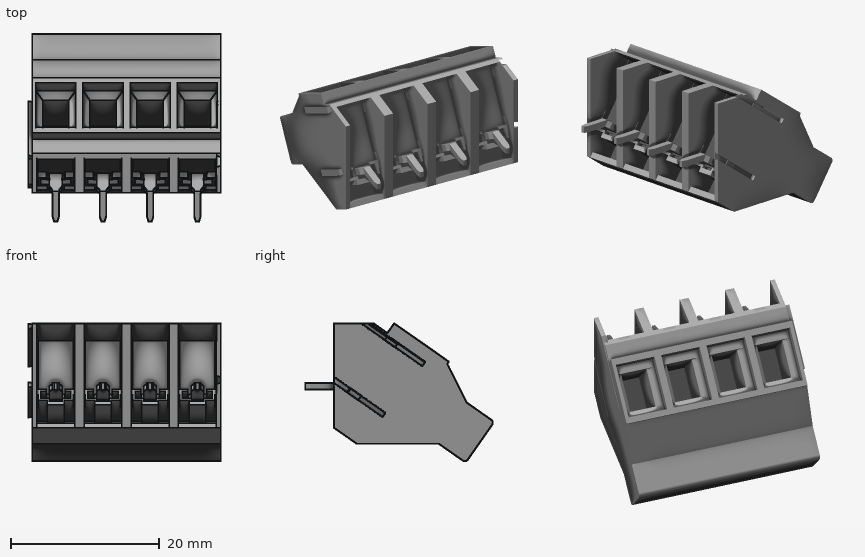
import cadquery as cq
import math


POLES = 4
PITCH = 6.35
TILT = math.radians(35)
BODY_WIDTH = POLES * PITCH
BODY_HEIGHT = 16.2

COS = math.cos(TILT)
SIN = math.sin(TILT)

TOP_DEPTH = 5.33
HOOD_FRONT_U = -2.66
HOOD_REAR_U = 6.34
HOOD_V = 17.92
ROOF_V = 16.33
HOOD_LIP = 0.37
TAIL_START = (17.87, 5.55)
TAIL_END_U = 15.98
TAIL_UNDER_V = 8.085
TAIL_RADIUS = 0.5
BOTTOM_CHAMFER_Z = 2.15

CHAMBER_WIDTH = 5.08
CHAMBER_ROOF_V = 15.85
CHAMBER_BACK_U = -1.55
FLOOR_LIP_DEPTH = 0.45
GAP_BACK_U = 2.4
SLIT_BACK_U = -0.9
CAGE_WIDTH = 4.7
PAD_THICKNESS = 0.1
PAD_FRONT_U = -2.4
UPPER_PAD_V = (13.85, CHAMBER_ROOF_V)
LOWER_PAD_V = (6.0, 8.26)

CAGE_FRONT_U = -2.56
CAGE_BOTTOM_V = 5.37
CAGE_TOP_V = 7.17
SHOULDER_BOTTOM_V = 6.23
KEEL_WIDTH = 2.23
KEEL_BOTTOM_V = 4.63
WINDOW_WIDTH = 4.06
WINDOW_V = (5.72, 6.86)
WINDOW_BACK_U = -0.75
MOUTH_WIDTH = 2.54
STEM_SLOT_V = 5.26

PIN_SIZE = 0.9
PIN_TOP_Z = 8.2
PIN_LENGTH = 3.87
PIN_TIP_WIDTH = 0.45
PIN_TIP_LENGTH = 0.7
STEM_WIDTH = 1.7
STEM_TAPER_U = (-4.3, -3.75)
STEM_TOP_V = WINDOW_V[1]
COLLAR_WIDTH = 2.45
COLLAR_FRONT_U = -1.85

ENTRY_WIDTH = 5.4
ENTRY_U = (-1.8, 5.55)
ENTRY_DEPTH = 1.88
FUNNEL_DEPTH = 0.7
SHAFT_WIDTH = 3.55
SHAFT_U = (-0.7, 4.5)
SHAFT_DEPTH = 6.2

RIB_HEIGHT = 0.55
RIB_WIDTH = 0.88
RIB_UNDERCUT = 0.115
UPPER_RIB_U = (-5.14, 3.75)
UPPER_RIB_TOP_V = 16.14
LOWER_RIB_U = (-3.8, 3.3)
LOWER_RIB_TOP_V = 7.48
GROOVE_RUN_OUT = 3.0

OVERLAP = 0.2


def tilted(u, v):
    """(Y, Z) of a point given in the tilted frame."""
    return (u * COS + v * SIN, v * COS - u * SIN)


def slope_point_at_z(z, v):
    """(Y, Z) of the point at height z on the sloped line v."""
    return ((v - z * COS) / SIN, z)


def prism(points, x_centre, width):
    """Extrude a (Y, Z) outline along X, centred on x_centre."""
    plane = cq.Workplane("YZ", origin=(x_centre - width / 2, 0, 0))
    return plane.polyline(points).close().extrude(width)


def tilted_box(x_centre, width, u_range, v_range):
    """Box aligned with the tilted frame."""
    u0, u1 = u_range
    v0, v1 = v_range
    corners = [tilted(u0, v0), tilted(u1, v0), tilted(u1, v1), tilted(u0, v1)]
    return prism(corners, x_centre, width)


def slope_plane(v):
    """Workplane at X = 0 on the slope v: local x is +X, local y is +u, normal is +v."""
    y, z = tilted(0, v)
    return cq.Workplane(cq.Plane(origin=(0, y, z), xDir=(1, 0, 0), normal=(0, SIN, COS)))


def housing():
    tail_y, tail_z = TAIL_START
    tail_top_v = tail_y * SIN + tail_z * COS
    chamfer_depth = BOTTOM_CHAMFER_Z / math.tan(TILT)
    outline = [
        (0, BOTTOM_CHAMFER_Z),
        (0, BODY_HEIGHT),
        (TOP_DEPTH, BODY_HEIGHT),
        tilted(HOOD_FRONT_U, ROOF_V),
        tilted(HOOD_FRONT_U, HOOD_V),
        tilted(HOOD_REAR_U, HOOD_V),
        tilted(HOOD_REAR_U, HOOD_V - HOOD_LIP),
        TAIL_START,
        tilted(TAIL_END_U, tail_top_v),
        tilted(TAIL_END_U, TAIL_UNDER_V),
        slope_point_at_z(0, TAIL_UNDER_V),
        (chamfer_depth, 0),
    ]
    body = prism(outline, BODY_WIDTH / 2, BODY_WIDTH)
    for v in (tail_top_v, TAIL_UNDER_V):
        y, z = tilted(TAIL_END_U, v)
        corner = cq.selectors.NearestToPointSelector((BODY_WIDTH / 2, y, z))
        body = body.edges("|X").edges(corner).fillet(TAIL_RADIUS)
    return body


def chamber(x):
    """Void of one contact chamber, before the cage and pads are put back."""
    lip_z = BOTTOM_CHAMFER_Z + FLOOR_LIP_DEPTH / math.tan(TILT)
    lip_v = FLOOR_LIP_DEPTH * SIN + lip_z * COS
    above_top = BODY_HEIGHT + OVERLAP
    outline = [
        (0, BOTTOM_CHAMFER_Z),
        (FLOOR_LIP_DEPTH, lip_z),
        tilted(GAP_BACK_U, lip_v),
        tilted(GAP_BACK_U, CAGE_BOTTOM_V),
        tilted(CHAMBER_BACK_U, CAGE_BOTTOM_V),
        tilted(CHAMBER_BACK_U, CHAMBER_ROOF_V),
        slope_point_at_z(above_top, CHAMBER_ROOF_V),
        (-OVERLAP, above_top),
        (-OVERLAP, BOTTOM_CHAMFER_Z),
    ]
    void = prism(outline, x, CHAMBER_WIDTH)
    slit_width = (CHAMBER_WIDTH - CAGE_WIDTH) / 2
    for side in (-1, 1):
        slit_x = x + side * (CHAMBER_WIDTH - slit_width) / 2
        slit_u = (CHAMBER_BACK_U - OVERLAP, SLIT_BACK_U)
        void = void.union(tilted_box(slit_x, slit_width, slit_u, (CAGE_BOTTOM_V, CHAMBER_ROOF_V)))
    return void


def wall_pads(x):
    """Thin pads on both side walls of a chamber that locate the cage."""
    pads = cq.Workplane("YZ")
    for side in (-1, 1):
        pad_width = PAD_THICKNESS + OVERLAP
        pad_x = x + side * (CHAMBER_WIDTH / 2 - PAD_THICKNESS + pad_width / 2)
        for v_range in (UPPER_PAD_V, LOWER_PAD_V):
            pads = pads.add(tilted_box(pad_x, pad_width, (PAD_FRONT_U, SLIT_BACK_U + OVERLAP), v_range))
    return pads.combine()


def cage(x):
    """Front of the contact cage with its shoulders and keel."""
    block_u = (CAGE_FRONT_U, CHAMBER_BACK_U + OVERLAP)
    block = tilted_box(x, CAGE_WIDTH, block_u, (CAGE_BOTTOM_V, CAGE_TOP_V))
    block = block.union(tilted_box(x, CHAMBER_WIDTH, block_u, (SHOULDER_BOTTOM_V, CAGE_TOP_V)))
    keel_u = (CAGE_FRONT_U, GAP_BACK_U + OVERLAP)
    return block.union(tilted_box(x, KEEL_WIDTH, keel_u, (KEEL_BOTTOM_V, CAGE_BOTTOM_V + OVERLAP)))


def cage_window(x):
    """Void in the cage around the stem."""
    front_u = CAGE_FRONT_U - OVERLAP
    window = tilted_box(x, WINDOW_WIDTH, (front_u, WINDOW_BACK_U), WINDOW_V)
    mouth_v = (WINDOW_V[0], CAGE_TOP_V + OVERLAP)
    mouth = tilted_box(x, MOUTH_WIDTH, (front_u, CHAMBER_BACK_U), mouth_v)
    slot = tilted_box(x, STEM_WIDTH, (front_u, CHAMBER_BACK_U), (STEM_SLOT_V, WINDOW_V[1]))
    return window.union(mouth).union(slot)


def pin(x):
    """Solder pin with its bent stem and the collar where it enters the cage."""
    tip_u, full_u = STEM_TAPER_U
    stem_bottom_v = STEM_TOP_V - PIN_SIZE
    shank_end = tilted(full_u, STEM_TOP_V)
    bend_top = slope_point_at_z(PIN_TOP_Z, STEM_TOP_V)
    bend_bottom = slope_point_at_z(PIN_TOP_Z - PIN_SIZE, stem_bottom_v)
    side_outline = [
        (-PIN_LENGTH, PIN_TOP_Z),
        bend_top,
        shank_end,
        tilted(full_u, stem_bottom_v),
        bend_bottom,
        (-PIN_LENGTH, PIN_TOP_Z - PIN_SIZE),
    ]
    shank = prism(side_outline, x, PIN_SIZE)
    half = PIN_SIZE / 2
    half_tip = PIN_TIP_WIDTH / 2
    shoulder_y = -PIN_LENGTH + PIN_TIP_LENGTH
    plan = [
        (x - half_tip, -PIN_LENGTH),
        (x + half_tip, -PIN_LENGTH),
        (x + half, shoulder_y),
        (x + half, shank_end[0]),
        (x - half, shank_end[0]),
        (x - half, shoulder_y),
    ]
    shank = shank.intersect(cq.Workplane("XY").polyline(plan).close().extrude(BODY_HEIGHT))

    end_u = WINDOW_BACK_U + OVERLAP
    half_stem = STEM_WIDTH / 2
    stem_plan = [
        (x - half, tip_u),
        (x + half, tip_u),
        (x + half_stem, full_u),
        (x + half_stem, end_u),
        (x - half_stem, end_u),
        (x - half_stem, full_u),
    ]
    stem = slope_plane(STEM_TOP_V).polyline(stem_plan).close().extrude(-PIN_SIZE)
    collar = tilted_box(x, COLLAR_WIDTH, (COLLAR_FRONT_U, end_u), WINDOW_V)
    return shank.union(stem).union(collar)


def wire_entry(x):
    """Void of one wire entry: straight mouth, funnel closed in on three sides, and shaft."""
    mouth_floor_v = HOOD_V - ENTRY_DEPTH
    shaft_top_v = mouth_floor_v - FUNNEL_DEPTH
    mouth = tilted_box(x, ENTRY_WIDTH, ENTRY_U, (mouth_floor_v, HOOD_V + OVERLAP))

    front_u, shaft_rear_u = SHAFT_U
    funnel_rear_u = ENTRY_U[1]

    def section_centre(rear_u):
        return (x, (front_u + rear_u) / 2)

    funnel = (
        slope_plane(mouth_floor_v)
        .pushPoints([section_centre(funnel_rear_u)])
        .rect(ENTRY_WIDTH, funnel_rear_u - front_u)
        .workplane(offset=-FUNNEL_DEPTH)
        .pushPoints([section_centre(shaft_rear_u)])
        .rect(SHAFT_WIDTH, shaft_rear_u - front_u)
        .loft(combine=True)
    )
    shaft = tilted_box(x, SHAFT_WIDTH, SHAFT_U, (shaft_top_v - SHAFT_DEPTH, shaft_top_v))
    return mouth.union(funnel).union(shaft)


def dovetail(u_range, top_v, x_base):
    """Dovetail bar on the plane X = x_base, widening towards -X."""
    front_u, rear_u = u_range
    y, z = tilted(front_u, top_v)
    plane = cq.Plane(origin=(x_base, y, z), xDir=(1, 0, 0), normal=(0, COS, -SIN))
    profile = [
        (0, RIB_UNDERCUT),
        (-RIB_HEIGHT, 0),
        (-RIB_HEIGHT, RIB_WIDTH),
        (0, RIB_WIDTH - RIB_UNDERCUT),
    ]
    return cq.Workplane(plane).polyline(profile).close().extrude(rear_u - front_u)


result = housing()
for u_range, top_v in ((UPPER_RIB_U, UPPER_RIB_TOP_V), (LOWER_RIB_U, LOWER_RIB_TOP_V)):
    result = result.union(dovetail(u_range, top_v, 0))
    groove_u = (u_range[0] - GROOVE_RUN_OUT, u_range[1])
    result = result.cut(dovetail(groove_u, top_v, BODY_WIDTH))

for pole in range(POLES):
    pole_x = PITCH / 2 + pole * PITCH
    result = result.cut(chamber(pole_x))
    result = result.union(wall_pads(pole_x))
    result = result.union(cage(pole_x))
    result = result.cut(cage_window(pole_x))
    result = result.union(pin(pole_x))
    result = result.cut(wire_entry(pole_x))